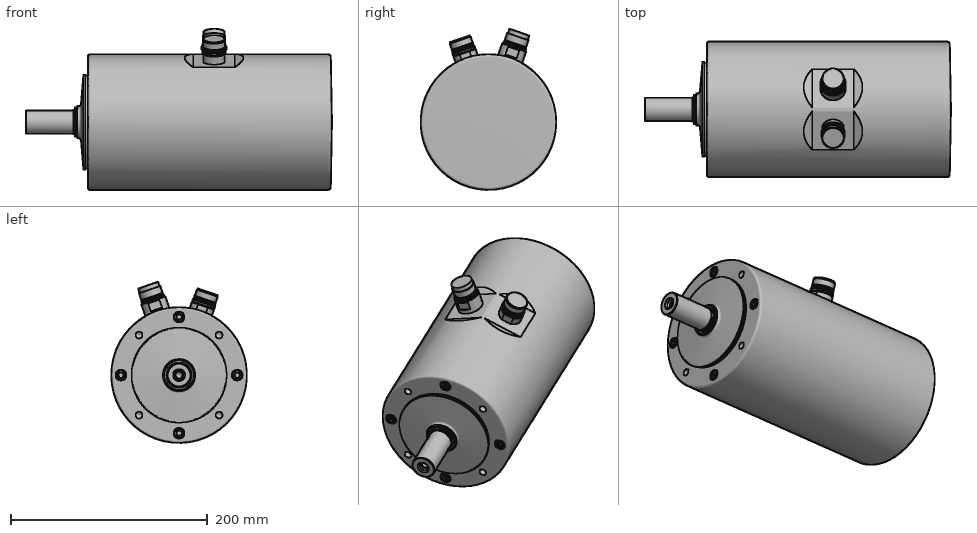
import cadquery as cq
import math


body_radius = 69.0
total_length = 311.0
shaft_reach = 63.0
rear_cone_rise = 1.2
rear_apex = total_length - shaft_reach
rear_edge = rear_apex - rear_cone_rise
front_edge_fillet = 2.3
rear_edge_fillet = 3.0

spigot_radius = 47.5
spigot_width = 2.6
lip_radius = 48.3
lip_width = 2.2
cone_rim_radius = 47.0
hub_radius = 18.5
hub_reach = 7.2

hub_fillet = 2.1
seal_lip_width = 1.4
seal_lip_radius = hub_radius - hub_fillet
seal_neck_radius = 14.0
seal_neck_width = 1.0
seal_flange_radius = 15.0
seal_flange_width = 1.5
seal_collar_base_radius = 12.8
seal_collar_tip_radius = 12.2
seal_collar_width = 1.8

shaft_radius = 12.0
shaft_chamfer = 0.5
centre_mouth_radius = 6.1
centre_counterbore_radius = 4.5
centre_counterbore_depth = 5.0
thread_hole_radius = 6.99 / 2
centre_hole_depth = 25.0

tapped_circle_radius = 57.5
tapped_depth = 16.0
screw_circle_radius = 59.0
screw_recess_radius = 5.5
screw_head_radius = 4.5
screw_recess_depth = 6.0
hex_across_flats = 5.0
hex_depth = 3.0
drill_tip_angle = 118.0

connector_x = 128.1
lean_angle = 19.0
pocket_floor = 65.85
pocket_floor_half_length = 21.1
pocket_mouth_half_length = 29.8
cut_clearance = 1.0

tall_base_radius = 13.0
tall_steps = [
    (tall_base_radius, 80.1),
    (22.6 / 2, 81.2),
    (24.0 / 2, 82.8),
    (21.8 / 2, 84.4),
    (23.1 / 2, 91.8),
    (21.6 / 2, 96.64),
]
tall_flat_span = (70.5, 79.0)
tall_across_flats = 23.0

short_base_radius = 12.0
short_base_top = 74.3
short_steps = [
    (short_base_radius, short_base_top),
    (21.8 / 2, 75.2),
    (24.0 / 2, 77.3),
    (21.8 / 2, 78.2),
    (23.0 / 2, 79.2),
    (21.8 / 2, 80.2),
    (23.0 / 2, 81.5),
    (22.6 / 2, 88.0),
    (21.6 / 2, 89.5),
]
short_flat_span = (pocket_floor, short_base_top)
short_across_flats = 21.6


def revolve_about_x(outline):
    return outline.close().revolve(360, (0, 0, 0), (1, 0, 0))


def drill_tip_length(radius):
    return radius / math.tan(math.radians(drill_tip_angle / 2))


def make_drum():
    return revolve_about_x(
        cq.Workplane("XY")
        .moveTo(0, 0)
        .lineTo(0, body_radius - front_edge_fillet)
        .radiusArc((front_edge_fillet, body_radius), front_edge_fillet)
        .lineTo(rear_edge - rear_edge_fillet, body_radius)
        .radiusArc((rear_edge, body_radius - rear_edge_fillet), rear_edge_fillet)
        .lineTo(rear_apex, 0)
    )


def make_front_cover_and_shaft():
    lip_back = -spigot_width
    lip_front = lip_back - lip_width
    hub_x = -hub_reach
    seal_lip_back = hub_x - hub_fillet
    seal_lip_front = seal_lip_back - seal_lip_width
    seal_neck_front = seal_lip_front - seal_neck_width
    seal_flange_front = seal_neck_front - seal_flange_width
    seal_front = seal_flange_front - seal_collar_width
    shaft_end = -shaft_reach
    return revolve_about_x(
        cq.Workplane("XY")
        .moveTo(0, 0)
        .lineTo(0, spigot_radius)
        .lineTo(lip_back, spigot_radius)
        .lineTo(lip_back, lip_radius)
        .lineTo(lip_front, lip_radius)
        .lineTo(lip_front, cone_rim_radius)
        .lineTo(hub_x, hub_radius)
        .radiusArc((seal_lip_back, seal_lip_radius), hub_fillet)
        .lineTo(seal_lip_front, seal_lip_radius)
        .lineTo(seal_lip_front, seal_neck_radius)
        .lineTo(seal_neck_front, seal_neck_radius)
        .lineTo(seal_neck_front, seal_flange_radius)
        .lineTo(seal_flange_front, seal_flange_radius)
        .lineTo(seal_flange_front, seal_collar_base_radius)
        .lineTo(seal_front, seal_collar_tip_radius)
        .lineTo(seal_front, shaft_radius)
        .lineTo(shaft_end + shaft_chamfer, shaft_radius)
        .lineTo(shaft_end, shaft_radius - shaft_chamfer)
        .lineTo(shaft_end, 0)
    )


def centre_hole():
    mouth = -shaft_reach
    countersink_end = mouth + centre_mouth_radius - centre_counterbore_radius
    counterbore_end = mouth + centre_counterbore_depth
    hole_end = mouth + centre_hole_depth
    return revolve_about_x(
        cq.Workplane("XY")
        .moveTo(mouth, 0)
        .lineTo(mouth, centre_mouth_radius)
        .lineTo(countersink_end, centre_counterbore_radius)
        .lineTo(counterbore_end, centre_counterbore_radius)
        .lineTo(counterbore_end, thread_hole_radius)
        .lineTo(hole_end, thread_hole_radius)
        .lineTo(hole_end + drill_tip_length(thread_hole_radius), 0)
    )


def tapped_hole():
    """Tool for a blind hole with a drill tip in the mounting face."""
    return revolve_about_x(
        cq.Workplane("XY")
        .lineTo(0, thread_hole_radius)
        .lineTo(tapped_depth, thread_hole_radius)
        .lineTo(tapped_depth + drill_tip_length(thread_hole_radius), 0)
    ).translate((0, 0, tapped_circle_radius))


def screw_cut():
    """Tool for the clearance ring around a flush screw head and the hexagon socket in it."""
    ring = (
        cq.Workplane("YZ")
        .circle(screw_recess_radius)
        .circle(screw_head_radius)
        .extrude(screw_recess_depth)
    )
    hex_across_corners = hex_across_flats / math.cos(math.radians(30))
    socket = (
        cq.Workplane("YZ")
        .polygon(6, hex_across_corners)
        .extrude(hex_depth)
        .rotate((0, 0, 0), (1, 0, 0), 90)
    )
    return ring.add(socket).combine().translate((0, 0, screw_circle_radius))


def lean(shape, angle):
    """Turn a shape about the motor axis; a positive angle leans it toward -Y."""
    return shape.rotate((0, 0, 0), (1, 0, 0), angle)


def connector_pocket():
    """Tool for a flat-floored pocket with sloping ends, running straight across the drum."""
    slope = (pocket_mouth_half_length - pocket_floor_half_length) / (body_radius - pocket_floor)
    top = body_radius + cut_clearance
    top_half_length = pocket_floor_half_length + slope * (top - pocket_floor)
    return (
        cq.Workplane("XZ", origin=(connector_x, 0, 0))
        .moveTo(-pocket_floor_half_length, pocket_floor)
        .lineTo(pocket_floor_half_length, pocket_floor)
        .lineTo(top_half_length, top)
        .lineTo(-top_half_length, top)
        .close()
        .extrude(body_radius / 2, both=True)
    )


def make_motor():
    motor = make_drum().union(make_front_cover_and_shaft()).cut(centre_hole())
    for quarter in range(4):
        angle = 90 * quarter
        motor = motor.cut(lean(screw_cut(), angle))
        motor = motor.cut(lean(tapped_hole(), angle + 45))
    for angle in (-lean_angle, lean_angle):
        motor = motor.cut(lean(connector_pocket(), angle))
    return motor


def make_connector(steps, base_radius, flat_span, across_flats, angle):
    """Stepped round connector standing on a pocket floor, with two wrench flats facing -X and +X."""
    outline = cq.Workplane("XZ").moveTo(0, pocket_floor)
    bottom = pocket_floor
    for radius, top in steps:
        outline = outline.lineTo(radius, bottom).lineTo(radius, top)
        bottom = top
    connector = outline.lineTo(0, bottom).close().revolve(360, (0, 0, 0), (0, 1, 0))

    flat_bottom, flat_top = flat_span
    cut_depth = base_radius - across_flats / 2
    for side in (-1, 1):
        flat_cut = (
            cq.Workplane("XY")
            .box(cut_depth, 2 * base_radius, flat_top - flat_bottom, centered=(True, True, False))
            .translate((side * (across_flats + cut_depth) / 2, 0, flat_bottom))
        )
        connector = connector.cut(flat_cut)
    return lean(connector.translate((connector_x, 0, 0)), angle)


motor = make_motor()
tall_connector = make_connector(
    tall_steps, tall_base_radius, tall_flat_span, tall_across_flats, -lean_angle
)
short_connector = make_connector(
    short_steps, short_base_radius, short_flat_span, short_across_flats, lean_angle
)

result = cq.Compound.makeCompound([motor.val(), tall_connector.val(), short_connector.val()])